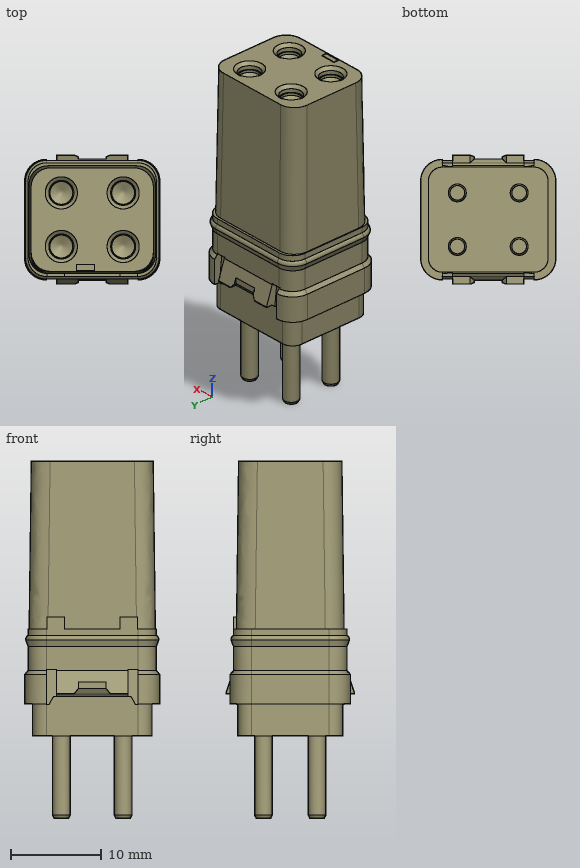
import cadquery as cq

FLANGE_LENGTH = 15.0
LATCH_SPAN = 14.3

BASE_BOTTOM = 9.15
FLANGE_BOTTOM = 12.68
FLANGE_SHOULDER = 15.92
FLANGE_TOP = 16.4
BEAD_BOTTOM = 19.05
BEAD_CREST = 19.75
BEAD_SHOULDER = 20.12
BEAD_TOP = 20.3
COLLAR_TOP = 21.0
TAB_TOP = 22.35
TOTAL_HEIGHT = 39.6

BASE_RADIUS = 1.55
COLLAR_RADIUS = 2.02
FLANGE_RADIUS = 2.4
CORNER_X = FLANGE_LENGTH / 2 - FLANGE_RADIUS
CORNER_Y = 4.28
BEAD_PROTRUSION = 0.28
BEAD_SHOULDER_PROTRUSION = 0.18
COLLAR_FACE_Y = CORNER_Y + COLLAR_RADIUS
FLANGE_FACE_Y = CORNER_Y + FLANGE_RADIUS

TOWER_RADIUS = 2.1
TOWER_BOTTOM_HALF = (7.0, 6.0)
TOWER_TOP_HALF = (6.77, 5.75)

CONTACT_PITCH_X = 6.85
CONTACT_PITCH_Y = 5.95
PIN_RADIUS = 1.0
PIN_EMBEDMENT = 0.4
PIN_CHAMFER_HEIGHT = 0.35
PIN_CHAMFER_WIDTH = 0.18
COUNTERSINK_RADIUS = 1.8
COUNTERSINK_DEPTH = 0.4
MOUTH_RADIUS = 1.4
MOUTH_DEPTH = 0.87
SOCKET_RADIUS = 1.25
SOCKET_DEPTH = 1.2
DRILL_POINT_HEIGHT = 0.75

TAB_INNER_X = 3.05
TAB_OUTER_X = 5.05

WINDOW_TOP = 16.5
WINDOW_DEPTH_Y = 5.35
WINDOW_BOTTOM = 12.65
PLATE_TOP_Y = 5.6
PLATE_BOTTOM_Y = 6.0
PLATE_FOOT_X = 4.8
PLATE_RISE_X = 4.28
LATCH_WIDTH = 7.9
LATCH_TIP_Y = LATCH_SPAN / 2
LATCH_TIP_TOP = 13.85
LATCH_TIP_BOTTOM = 13.8
LATCH_ROOT_BOTTOM = 13.5
NOTCH_HALF_WIDTH = 1.55
NOTCH_FLARE_HALF_WIDTH = 2.02
NOTCH_FACE_Y = 6.75
NOTCH_TOP = 15.35
NOTCH_KNEE = 14.38

MARK_X = -0.75
MARK_Y = -5.3
MARK_LENGTH = 2.0
MARK_WIDTH = 0.67
MARK_DEPTH = 0.06


def rounded_outline(z, half_x, half_y, radius):
    return (
        cq.Sketch()
        .rect(2 * half_x, 2 * half_y)
        .vertices()
        .fillet(radius)
        .moved(cq.Location(cq.Vector(0, 0, z)))
    )


def frustum(bottom, top):
    return cq.Workplane("XY").placeSketch(bottom, top).loft()


def body_layer(z_bottom, z_top, radius_bottom, radius_top):
    """Layer of the body whose corners are centred on the shared corner axes."""
    outlines = [
        rounded_outline(z, CORNER_X + radius, CORNER_Y + radius, radius)
        for z, radius in ((z_bottom, radius_bottom), (z_top, radius_top))
    ]
    return frustum(*outlines)


def side_prism(points, half_width):
    """Extrude a (y, z) outline symmetrically along X."""
    return cq.Workplane("YZ").polyline(points).close().extrude(half_width, both=True)


def facing_prism(points, y_min, y_max):
    """Extrude an (x, z) outline along Y."""
    plane = cq.Workplane("XZ", origin=(0, y_min, 0))
    return plane.polyline(points).close().extrude(y_min - y_max)


def box_between(x_min, x_max, y_min, y_max, z_min, z_max):
    size = (x_max - x_min, y_max - y_min, z_max - z_min)
    return cq.Workplane("XY").box(*size, centered=False).translate((x_min, y_min, z_min))


def make_bead():
    """Sealing bead swept round the collar: round upper side, straight underside."""
    face_x = CORNER_X + COLLAR_RADIUS
    straight_x = 2 * CORNER_X
    straight_y = 2 * CORNER_Y
    path = (
        cq.Workplane("XY", origin=(face_x, -CORNER_Y, BEAD_BOTTOM))
        .line(0, straight_y)
        .radiusArc((-COLLAR_RADIUS, straight_y + COLLAR_RADIUS), -COLLAR_RADIUS)
        .line(-straight_x, 0)
        .radiusArc((-straight_x - 2 * COLLAR_RADIUS, straight_y), -COLLAR_RADIUS)
        .line(0, -straight_y)
        .radiusArc((-straight_x - COLLAR_RADIUS, -COLLAR_RADIUS), -COLLAR_RADIUS)
        .line(straight_x, 0)
        .radiusArc((0, 0), -COLLAR_RADIUS)
        .wire()
    )
    profile = (
        cq.Workplane("XZ", origin=(face_x, -CORNER_Y, 0))
        .moveTo(-BEAD_PROTRUSION, BEAD_BOTTOM)
        .lineTo(0, BEAD_BOTTOM)
        .lineTo(BEAD_PROTRUSION, BEAD_CREST)
        .threePointArc((BEAD_SHOULDER_PROTRUSION, BEAD_SHOULDER), (0, BEAD_TOP))
        .lineTo(-BEAD_PROTRUSION, BEAD_TOP)
        .close()
    )
    return profile.sweep(path)


def make_body():
    body = body_layer(BASE_BOTTOM, FLANGE_BOTTOM, BASE_RADIUS, BASE_RADIUS)
    layers = (
        (FLANGE_BOTTOM, FLANGE_SHOULDER, FLANGE_RADIUS, FLANGE_RADIUS),
        (FLANGE_SHOULDER, FLANGE_TOP, FLANGE_RADIUS, COLLAR_RADIUS),
        (FLANGE_TOP, COLLAR_TOP, COLLAR_RADIUS, COLLAR_RADIUS),
    )
    for layer in layers:
        body = body.union(body_layer(*layer))
    tower = frustum(
        rounded_outline(COLLAR_TOP, *TOWER_BOTTOM_HALF, TOWER_RADIUS),
        rounded_outline(TOTAL_HEIGHT, *TOWER_TOP_HALF, TOWER_RADIUS),
    )
    return body.union(make_bead()).union(tower)


def make_tabs():
    """Two tabs rising from the collar, flush with its front face."""
    right = box_between(
        TAB_INNER_X, TAB_OUTER_X, -COLLAR_FACE_Y, -TOWER_TOP_HALF[1], COLLAR_TOP, TAB_TOP
    )
    return right.union(right.mirror("YZ"))


def make_window():
    """Opening cut through the flange and into the core, on the +Y side."""
    return box_between(
        -CORNER_X, CORNER_X, WINDOW_DEPTH_Y, FLANGE_FACE_Y, WINDOW_BOTTOM, WINDOW_TOP
    )


def make_latch():
    """Inclined plate and snap wedge that fill the window, on the +Y side."""
    plate = side_prism(
        [
            (CORNER_Y, WINDOW_BOTTOM),
            (PLATE_BOTTOM_Y, WINDOW_BOTTOM),
            (PLATE_TOP_Y, WINDOW_TOP),
            (CORNER_Y, WINDOW_TOP),
        ],
        CORNER_X,
    )
    plate_foot_cut = facing_prism(
        [
            (-PLATE_FOOT_X, WINDOW_BOTTOM),
            (PLATE_FOOT_X, WINDOW_BOTTOM),
            (PLATE_RISE_X, LATCH_ROOT_BOTTOM),
            (-PLATE_RISE_X, LATCH_ROOT_BOTTOM),
        ],
        CORNER_Y + BASE_RADIUS,
        LATCH_TIP_Y,
    )
    wedge = side_prism(
        [
            (CORNER_Y, WINDOW_TOP),
            (COLLAR_FACE_Y, WINDOW_TOP),
            (COLLAR_FACE_Y, FLANGE_TOP),
            (LATCH_TIP_Y, LATCH_TIP_TOP),
            (LATCH_TIP_Y, LATCH_TIP_BOTTOM),
            (COLLAR_FACE_Y, LATCH_TIP_BOTTOM),
            (PLATE_BOTTOM_Y, LATCH_ROOT_BOTTOM),
            (CORNER_Y, LATCH_ROOT_BOTTOM),
        ],
        LATCH_WIDTH / 2,
    )
    notch_section = side_prism(
        [
            (NOTCH_FACE_Y, NOTCH_TOP),
            (NOTCH_FACE_Y, NOTCH_KNEE),
            (COLLAR_FACE_Y, LATCH_TIP_BOTTOM),
            (LATCH_TIP_Y, LATCH_TIP_BOTTOM),
            (LATCH_TIP_Y, NOTCH_TOP),
        ],
        LATCH_WIDTH / 2,
    )
    notch_opening = facing_prism(
        [
            (NOTCH_HALF_WIDTH, NOTCH_TOP),
            (NOTCH_HALF_WIDTH, NOTCH_KNEE),
            (NOTCH_FLARE_HALF_WIDTH, LATCH_TIP_BOTTOM),
            (-NOTCH_FLARE_HALF_WIDTH, LATCH_TIP_BOTTOM),
            (-NOTCH_HALF_WIDTH, NOTCH_KNEE),
            (-NOTCH_HALF_WIDTH, NOTCH_TOP),
        ],
        CORNER_Y,
        LATCH_TIP_Y,
    )
    notch = notch_section.intersect(notch_opening)
    return plate.cut(plate_foot_cut).union(wedge.cut(notch))


def make_pin():
    pin = cq.Workplane("XY").circle(PIN_RADIUS).extrude(BASE_BOTTOM + PIN_EMBEDMENT)
    return pin.faces("<Z").chamfer(PIN_CHAMFER_HEIGHT, PIN_CHAMFER_WIDTH)


def make_socket():
    """Countersunk, stepped bore with a conical end, as (radius, height) revolved about Z."""
    mouth_z = TOTAL_HEIGHT - MOUTH_DEPTH
    socket_z = TOTAL_HEIGHT - SOCKET_DEPTH
    profile = [
        (0, TOTAL_HEIGHT),
        (COUNTERSINK_RADIUS, TOTAL_HEIGHT),
        (MOUTH_RADIUS, TOTAL_HEIGHT - COUNTERSINK_DEPTH),
        (MOUTH_RADIUS, mouth_z),
        (SOCKET_RADIUS, mouth_z),
        (SOCKET_RADIUS, socket_z),
        (0, socket_z - DRILL_POINT_HEIGHT),
    ]
    return cq.Workplane("XZ").polyline(profile).close().revolve(360, (0, 0, 0), (0, 1, 0))


def at_contacts(shape):
    places = cq.Workplane("XY").rarray(CONTACT_PITCH_X, CONTACT_PITCH_Y, 2, 2)
    return places.eachpoint(lambda place: shape.val().moved(place))


latch = make_latch()
window = make_window()
mark = (
    cq.Workplane("XY", origin=(MARK_X, MARK_Y, TOTAL_HEIGHT))
    .rect(MARK_LENGTH, MARK_WIDTH)
    .extrude(-MARK_DEPTH)
)

result = (
    make_body()
    .union(make_tabs())
    .cut(window)
    .cut(window.mirror("XZ"))
    .union(latch)
    .union(latch.mirror("XZ"))
    .union(at_contacts(make_pin()))
    .cut(at_contacts(make_socket()))
    .cut(mark)
)